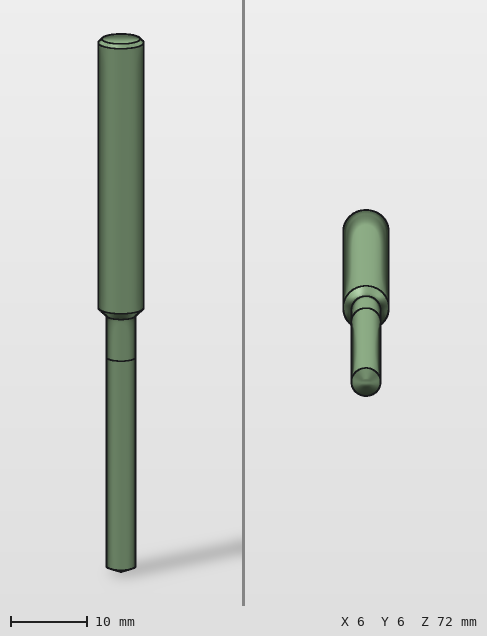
import cadquery as cq

total_length = 72.0
shank_diameter = 6.0
drill_diameter = 3.8
top_chamfer = 0.5
shank_length = 36.3
joint_height = 29.0
tip_height = 0.8

shank_radius = shank_diameter / 2
drill_radius = drill_diameter / 2
shoulder_top = total_length - shank_length
shoulder_height = shank_radius - drill_radius


def make_holder():
    """Chamfered shank with a conical shoulder and a short neck."""
    profile = [
        (0, joint_height),
        (drill_radius, joint_height),
        (drill_radius, shoulder_top - shoulder_height),
        (shank_radius, shoulder_top),
        (shank_radius, total_length - top_chamfer),
        (shank_radius - top_chamfer, total_length),
        (0, total_length),
    ]
    return cq.Workplane("XZ").polyline(profile).close().revolve(360, (0, 0), (0, 1))


def make_cutting_end():
    """Plain cylinder below the neck, ending in a conical point."""
    profile = [
        (0, 0),
        (drill_radius, tip_height),
        (drill_radius, joint_height),
        (0, joint_height),
    ]
    return cq.Workplane("XZ").polyline(profile).close().revolve(360, (0, 0), (0, 1))


holder = make_holder()
cutting_end = make_cutting_end()

result = cq.Compound.makeCompound([holder.val(), cutting_end.val()])